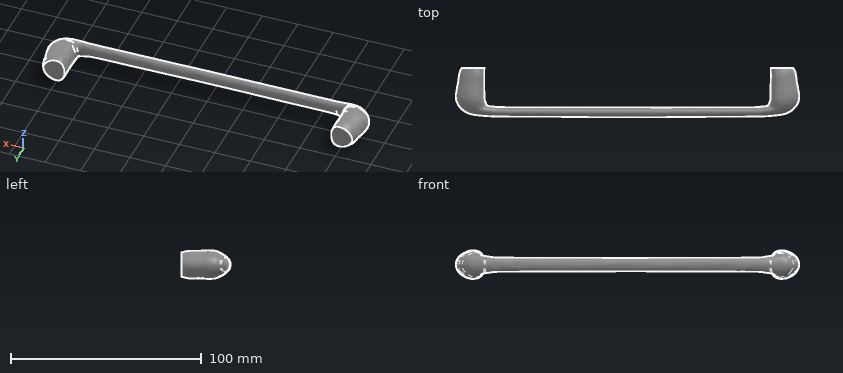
import cadquery as cq
import math

half_length = 180.3 / 2
depth = 26.0
bulge_height = 15.1

foot_inner_x = -75.0
foot_outer_x = -86.9
foot_height = 12.8

bar_front_y = -depth
bar_back_y = -20.7
bar_height = 7.2
bar_end_height = 7.5

foot_skew = 0.22
bend_skew = foot_skew / 2

left_sections = [
    ((foot_outer_x, 0), (foot_inner_x, 0), foot_height, foot_skew),
    ((-88.9, -7.2), (foot_inner_x, -7.2), 14.6, foot_skew),
    ((-half_length, -14.0), (foot_inner_x, -13.0), bulge_height, foot_skew),
    ((-88.9, -19.5), (-74.8, -16.8), 14.6, foot_skew),
    ((-85.1, -23.0), (-74.3, -18.4), 12.3, bend_skew),
    ((-80.2, -24.7), (-73.2, -19.8), 10.0, 0),
    ((-73.0, -25.5), (-70.3, -20.2), 8.3, 0),
    ((-65, -25.6), (-65, -20.5), bar_end_height, 0),
    ((-36, -25.8), (-36, -20.5), 7.4, 0),
]
middle_section = ((0, bar_front_y), (0, bar_back_y), bar_height, 0)
points_per_section = 12


def mirrored(section):
    """The matching section on the other side of X = 0."""
    outer, inner, height, skew = section
    return (-outer[0], outer[1]), (-inner[0], inner[1]), height, skew


def section_wire(outer, inner, height, skew):
    """Closed oval upright in Z, spanning the outer and inner edge points."""
    across = cq.Vector(inner[0] - outer[0], inner[1] - outer[1], 0)
    center = cq.Vector((outer[0] + inner[0]) / 2, (outer[1] + inner[1]) / 2, 0)
    along = across.cross(cq.Vector(0, 0, 1))
    plane = cq.Plane(origin=center, xDir=across, normal=along)
    half_width = across.Length / 2
    points = []
    for index in range(points_per_section):
        angle = 2 * math.pi * index / points_per_section
        width_place = half_width * (math.cos(angle) + skew * math.sin(angle) ** 2)
        height_place = height / 2 * math.sin(angle)
        points.append(plane.toWorldCoords((width_place, height_place)))
    return cq.Wire.assembleEdges([cq.Edge.makeSpline(points, periodic=True)])


def handle():
    """One smooth loft from the left mounting face to the right one."""
    right_sections = [mirrored(section) for section in reversed(left_sections)]
    sections = left_sections + [middle_section] + right_sections
    wires = [section_wire(*section) for section in sections]
    return cq.occ_impl.shapes.loft(wires, cap=True, degree=3, continuity="C1", parametrization="uniform")


result = cq.Workplane(handle())